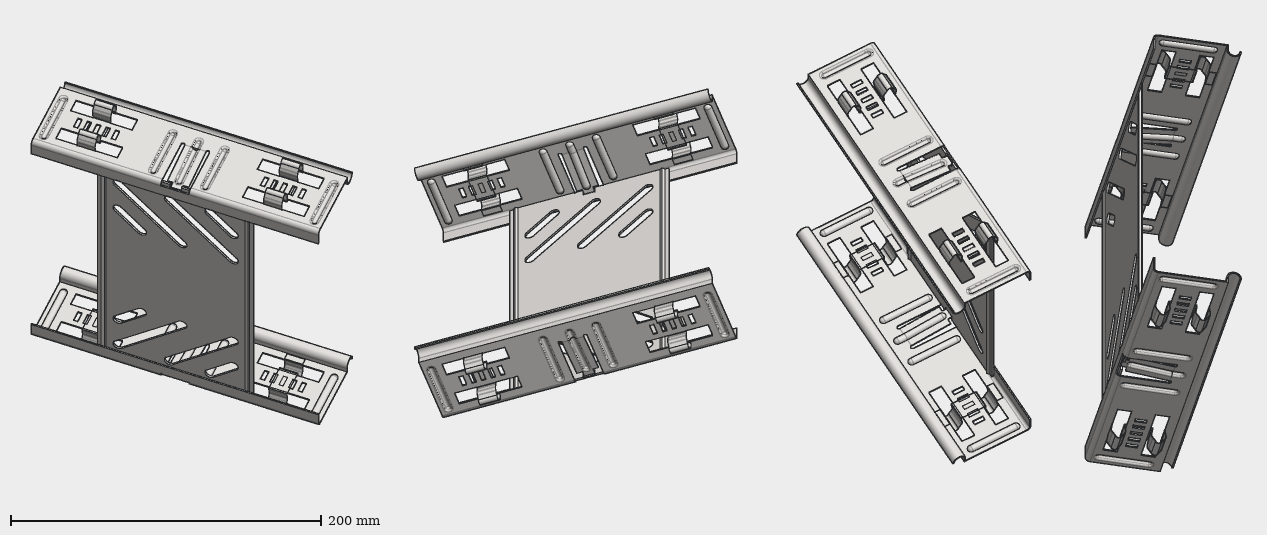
import cadquery as cq
import math

RAIL_LENGTH = 200.0
RAIL_TOP = 98.0
RAIL_THICKNESS = 1.0
FRONT = -29.1
BACK = 29.1
FLANGE_HEIGHT = 12.0
BEND_RADIUS = 3.3
HOOK_RADIUS = 4.8

BEAD_DEPTH = 2.2
BEAD_BEND = 1.64
BEAD_BACK = 12.0
BEAD_FRONT = -21.4
OUTER_BEAD_X = 94.2
INNER_BEAD_X = 18.0

TAB_WIDTH = 14.8
TAB_OPENING_WIDTH = 19.6
TAB_HINGE_Y = 6.0
TAB_SHOULDER_Y = -23.5
TAB_ANGLE = 6.0
NECK_WIDTH = 7.2
NECK_END_Y = -27.5

CLIP_X = 65.0
CLIP_CENTER_Y = -3.0
CLIP_WIDTH = 12.6
CLIP_THICKNESS = 0.5
CLIP_HALF_LENGTH = 22.0
ARCH_OFFSET = 13.3
ARCH_LEG_HALF = 4.4
ARCH_BULGE_HALF = 5.0
ARCH_BULGE_Z = 102.0
ARCH_CURVE_HALF = 4.9
ARCH_CURVE_Z = 103.3
ARCH_SHOULDER_HALF = 4.1
ARCH_SHOULDER_Z = 104.6
ARCH_CREST_HALF = 2.2
ARCH_CREST_Z = 107.5
CLIP_TOP = 109.0

WINDOW_LENGTH = 42.7
WINDOW_WIDTH = 9.4
WINDOW_OFFSET = 12.54
SLOT_WIDTH = 2.8
SLOT_LENGTH = 7.6
SLOT_PITCH = 6.5
SLOT_COUNT = 5

PLATE_HALF_WIDTH = 54.3
PLATE_THICKNESS = 1.44
RIB_OUTER_X = 51.7
RIB_VALLEY_X = 50.03
RIB_INNER_X = 48.5
RIB_DEPTH = 1.64
WEB_SETBACK = 0.7
NOTCH_WIDTH = 7.8
NOTCH_DEPTH = 4.4

CUTOUT_WIDTH = 7.0
CUTOUT_CENTER_Z = 61.0
CUTOUT_HALF_HEIGHT = 20.3
CUTOUT_OUTER_X = 40.1
CUTOUT_INNER_X = 4.4
SHORT_CUTOUT_X = 23.8
SHORT_CUTOUT_Z = 5.2

RAIL_UNDERSIDE = RAIL_TOP - RAIL_THICKNESS
PLATE_FRONT = FRONT + RAIL_THICKNESS
WEB_FRONT = PLATE_FRONT + WEB_SETBACK
HOOK_Y = BACK - HOOK_RADIUS
HOOK_Z = RAIL_TOP - 4.4
HOOK_INNER_RADIUS = HOOK_RADIUS - RAIL_THICKNESS
LEG_REAR_Y = HOOK_Y - HOOK_INNER_RADIUS
LEG_FRONT_Y = HOOK_Y - HOOK_RADIUS
INNER_BEND = BEND_RADIUS - RAIL_THICKNESS
BEAD_SLOPE = math.acos(1 - BEAD_DEPTH / (2 * BEAD_BEND))
BEAD_LIP_X = 2 * BEAD_BEND * math.sin(BEAD_SLOPE)
BEAD_AXIS_Z = RAIL_TOP - BEAD_DEPTH + BEAD_BEND
TAB_GAP = (TAB_OPENING_WIDTH - TAB_WIDTH) / 2
MIRROR_PLANE = "XY"
DIAGONAL = math.sqrt(0.5)


def box(x_range, y_range, z_range):
    """A block given by its limits along each axis."""
    size = [high - low for low, high in (x_range, y_range, z_range)]
    corner = (x_range[0], y_range[0], z_range[0])
    return cq.Workplane("XY").box(*size, centered=False).translate(corner)


def centered_range(center, width):
    return (center - width / 2, center + width / 2)


def rail_section():
    """Bent strip: front flange, flat top, rear leg and upturned hook."""
    bend_y = FRONT + BEND_RADIUS
    bend_z = RAIL_TOP - BEND_RADIUS
    flange_bottom = RAIL_TOP - FLANGE_HEIGHT
    return (
        cq.Workplane("YZ", origin=(-RAIL_LENGTH / 2, 0, 0))
        .moveTo(FRONT, flange_bottom)
        .lineTo(FRONT, bend_z)
        .threePointArc(
            (bend_y - BEND_RADIUS * DIAGONAL, bend_z + BEND_RADIUS * DIAGONAL), (bend_y, RAIL_TOP)
        )
        .lineTo(LEG_REAR_Y, RAIL_TOP)
        .lineTo(LEG_REAR_Y, HOOK_Z)
        .threePointArc((HOOK_Y, HOOK_Z - HOOK_INNER_RADIUS), (HOOK_Y + HOOK_INNER_RADIUS, HOOK_Z))
        .lineTo(BACK, HOOK_Z)
        .threePointArc((HOOK_Y, HOOK_Z - HOOK_RADIUS), (LEG_FRONT_Y, HOOK_Z))
        .lineTo(LEG_FRONT_Y, RAIL_UNDERSIDE)
        .lineTo(bend_y, RAIL_UNDERSIDE)
        .threePointArc(
            (bend_y - INNER_BEND * DIAGONAL, bend_z + INNER_BEND * DIAGONAL), (PLATE_FRONT, bend_z)
        )
        .lineTo(PLATE_FRONT, flange_bottom)
        .close()
        .extrude(RAIL_LENGTH)
    )


def bead_solid(x, half_profile):
    """Stadium-shaped solid whose cross-section is the half profile (distance from axis, height)."""
    start, *arcs = half_profile

    def half_section(direction):
        section = cq.Workplane("XZ").moveTo(0, start[1]).lineTo(direction * start[0], start[1])
        for middle, end in arcs:
            section = section.threePointArc((direction * middle[0], middle[1]), (direction * end[0], end[1]))
        return section.close()

    solid = cq.Workplane("XY")
    for end_y in (BEAD_BACK, BEAD_FRONT):
        solid = solid.union(half_section(1).revolve(360, (0, 0), (0, 1)).translate((x, end_y, 0)))
    for direction in (-1, 1):
        side = half_section(direction).extrude(BEAD_BACK - BEAD_FRONT)
        solid = solid.union(side.translate((x, BEAD_BACK, 0)))
    return solid


def polar(center, radius, angle):
    """Point at a radius from a centre, the angle measured from straight up towards positive."""
    return (center[0] + radius * math.sin(angle), center[1] + radius * math.cos(angle))


def trough_profile():
    """Half section of a bead's upper face: a rounded lip running into a round floor."""
    lip_center = (BEAD_LIP_X, RAIL_TOP - BEAD_BEND)
    floor_center = (0, BEAD_AXIS_Z)
    return [
        (BEAD_LIP_X, RAIL_TOP),
        (polar(lip_center, BEAD_BEND, -BEAD_SLOPE / 2), polar(lip_center, BEAD_BEND, -BEAD_SLOPE)),
        (polar(floor_center, BEAD_BEND, math.pi - BEAD_SLOPE / 2), polar(floor_center, BEAD_BEND, math.pi)),
    ]


def boss_profile():
    """Half section of a bead's round underside, meeting the sheet's underside at a corner."""
    radius = BEAD_BEND + RAIL_THICKNESS
    side_angle = math.acos((RAIL_UNDERSIDE - BEAD_AXIS_Z) / radius)
    floor_center = (0, BEAD_AXIS_Z)
    return [
        polar(floor_center, radius, side_angle),
        (polar(floor_center, radius, (side_angle + math.pi) / 2), polar(floor_center, radius, math.pi)),
    ]


def add_bead(sheet, x):
    """Press a rounded trough into the flat sheet, with a matching boss below."""
    return sheet.union(bead_solid(x, boss_profile())).cut(bead_solid(x, trough_profile()))


def clip_openings(x):
    """Two notched windows for a clip's arches and the row of small slots between them."""
    through = (RAIL_UNDERSIDE - 2.2, RAIL_TOP + 2.2)
    cutter = cq.Workplane("XY")
    for side in (-1, 1):
        window_y = CLIP_CENTER_Y + side * WINDOW_OFFSET
        arch_y = CLIP_CENTER_Y + side * ARCH_OFFSET
        cutter = cutter.add(
            box(centered_range(x, WINDOW_LENGTH), centered_range(window_y, WINDOW_WIDTH), through)
        )
        cutter = cutter.add(
            box(centered_range(x, CLIP_WIDTH), centered_range(arch_y, 2 * ARCH_LEG_HALF), through)
        )
    for index in range(SLOT_COUNT):
        slot_x = x + (index - (SLOT_COUNT - 1) / 2) * SLOT_PITCH
        cutter = cutter.add(
            box(centered_range(slot_x, SLOT_WIDTH), centered_range(CLIP_CENTER_Y, SLOT_LENGTH), through)
        )
    return cutter


def make_tab():
    """Latch tab with its half of the centre bead, bent down about its hinge line."""
    sheet = (RAIL_UNDERSIDE, RAIL_TOP)
    tab = box(centered_range(0, TAB_OPENING_WIDTH), (FRONT, BEAD_BACK + 2 * BEAD_LIP_X), sheet)
    tab = add_bead(tab, 0)
    depth = (RAIL_TOP - 2 * BEAD_DEPTH, RAIL_TOP)
    outline = box(centered_range(0, TAB_WIDTH), (TAB_SHOULDER_Y, TAB_HINGE_Y), depth)
    outline = outline.union(box(centered_range(0, NECK_WIDTH), (NECK_END_Y, TAB_SHOULDER_Y), depth))
    tab = tab.intersect(outline)
    hinge = (0, TAB_HINGE_Y, RAIL_TOP)
    return tab.rotate(hinge, (1, TAB_HINGE_Y, RAIL_TOP), TAB_ANGLE)


def make_rail():
    rail = rail_section()
    for bead_x in (-OUTER_BEAD_X, -INNER_BEAD_X, 0, INNER_BEAD_X, OUTER_BEAD_X):
        rail = add_bead(rail, bead_x)
    for clip_x in (-CLIP_X, CLIP_X):
        for opening in clip_openings(clip_x).vals():
            rail = rail.cut(cq.Workplane(opening))
    opening = box(
        centered_range(0, TAB_OPENING_WIDTH),
        (FRONT, TAB_HINGE_Y),
        (RAIL_TOP - BEND_RADIUS, RAIL_TOP + 2.2),
    )
    for side in (-1, 1):
        gap_x = side * (TAB_OPENING_WIDTH - TAB_GAP) / 2
        gap_end = cq.Workplane("XY", origin=(gap_x, TAB_HINGE_Y, RAIL_UNDERSIDE)).circle(TAB_GAP / 2)
        opening = opening.union(gap_end.extrude(2 * RAIL_THICKNESS))
    return rail.cut(opening).union(make_tab())


def plate_section():
    """Flat web with a V rib and an edge strip along each side."""
    valley = PLATE_FRONT + RIB_DEPTH
    outer_front = [
        (RIB_INNER_X, WEB_FRONT),
        (RIB_VALLEY_X, valley),
        (RIB_OUTER_X, PLATE_FRONT),
        (PLATE_HALF_WIDTH, PLATE_FRONT),
    ]
    front = [(-x, y) for x, y in reversed(outer_front)] + outer_front
    back = [(x, y + PLATE_THICKNESS) for x, y in reversed(front)]
    return cq.Workplane("XY").polyline(front + back).close()


def cutout(start, end):
    """Round-ended diagonal cutter between two end centres given as (x, z)."""
    run = end[0] - start[0]
    rise = end[1] - start[1]
    middle = ((start[0] + end[0]) / 2, (start[1] + end[1]) / 2)
    return (
        cq.Workplane("XZ", origin=(0, BACK, 0))
        .center(*middle)
        .slot2D(math.hypot(run, rise) + CUTOUT_WIDTH, CUTOUT_WIDTH, math.degrees(math.atan2(rise, run)))
        .extrude(BACK - FRONT)
    )


def make_plate(rails):
    plate = plate_section().extrude(2 * RAIL_UNDERSIDE).translate((0, 0, -RAIL_UNDERSIDE))
    high = CUTOUT_CENTER_Z + CUTOUT_HALF_HEIGHT
    low = CUTOUT_CENTER_Z - CUTOUT_HALF_HEIGHT
    cutters = [
        cutout((-CUTOUT_OUTER_X, high), (CUTOUT_INNER_X, low)),
        cutout((-CUTOUT_INNER_X, high), (CUTOUT_OUTER_X, low)),
        cutout((-CUTOUT_OUTER_X, CUTOUT_CENTER_Z - SHORT_CUTOUT_Z), (-SHORT_CUTOUT_X, low)),
        cutout((SHORT_CUTOUT_X, high), (CUTOUT_OUTER_X, CUTOUT_CENTER_Z + SHORT_CUTOUT_Z)),
        box(
            centered_range(0, NOTCH_WIDTH),
            (FRONT, BACK),
            (RAIL_UNDERSIDE - NOTCH_DEPTH, RAIL_UNDERSIDE),
        ),
    ]
    for cutter in cutters:
        plate = plate.cut(cutter).cut(cutter.mirror(MIRROR_PLANE))
    for rail in rails:
        plate = plate.cut(rail)
    return plate


def arch(x, y, inset):
    """Solid arch whose outline lies the given distance inside the clip's outer surface."""
    outline = [
        (ARCH_LEG_HALF - inset, RAIL_UNDERSIDE - CLIP_THICKNESS),
        (ARCH_LEG_HALF - inset, RAIL_TOP),
        (ARCH_BULGE_HALF - inset, ARCH_BULGE_Z),
    ]
    curve = (ARCH_CURVE_HALF - inset, ARCH_CURVE_Z)
    shoulder = (ARCH_SHOULDER_HALF - inset, ARCH_SHOULDER_Z)
    crest = (ARCH_CREST_HALF - inset / 2, ARCH_CREST_Z - inset)
    top = (0, CLIP_TOP - inset)

    def flip(point):
        return (-point[0], point[1])

    return (
        cq.Workplane("YZ", origin=(x - CLIP_WIDTH / 2, y, 0))
        .polyline(outline)
        .threePointArc(curve, shoulder)
        .lineTo(*crest)
        .threePointArc(top, flip(crest))
        .lineTo(*flip(shoulder))
        .threePointArc(flip(curve), flip(outline[2]))
        .lineTo(*flip(outline[1]))
        .lineTo(*flip(outline[0]))
        .close()
        .extrude(CLIP_WIDTH)
    )


def make_clip(x):
    """Spring strip under the rail with two arches standing up through the windows."""
    strip_y = centered_range(CLIP_CENTER_Y, 2 * CLIP_HALF_LENGTH)
    strip_z = (RAIL_UNDERSIDE - CLIP_THICKNESS, RAIL_UNDERSIDE)
    clip = box(centered_range(x, CLIP_WIDTH), strip_y, strip_z)
    arch_places = (CLIP_CENTER_Y - ARCH_OFFSET, CLIP_CENTER_Y + ARCH_OFFSET)
    for arch_y in arch_places:
        clip = clip.union(arch(x, arch_y, 0))
    for arch_y in arch_places:
        clip = clip.cut(arch(x, arch_y, CLIP_THICKNESS))
    return clip


upper_rail = make_rail()
rails = [upper_rail, upper_rail.mirror(MIRROR_PLANE)]
plate = make_plate(rails)
clips = []
for clip_x in (-CLIP_X, CLIP_X):
    upper_clip = make_clip(clip_x)
    clips += [upper_clip, upper_clip.mirror(MIRROR_PLANE)]

result = cq.Compound.makeCompound([body.val() for body in [*rails, plate, *clips]])